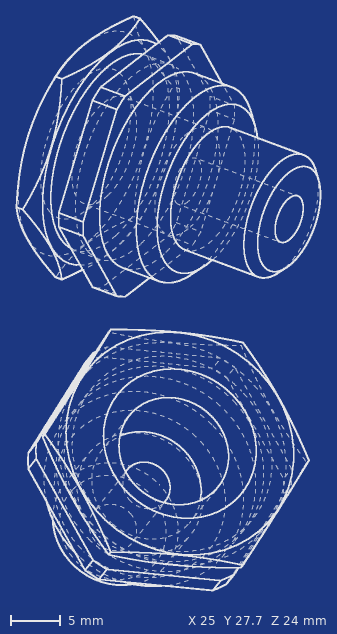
import cadquery as cq
import math

total_length = 25.0
head_thickness = 3.0
nut_start = 2 * head_thickness
nut_thickness = head_thickness
body_end = 15.0

across_corners = 27.7
across_flats = across_corners * math.cos(math.radians(30))
head_face_diameter = 23.89
head_chamfer_angle = 30
nut_corner_diameter = 26.8

body_diameter = 20.95
body_chamfer = 1.5
spigot_diameter = 13.15
spigot_chamfer = 1.0

bore_diameter = 11.5
bore_depth = 12.47
mouth_diameter = 16.02
mouth_depth = (mouth_diameter - bore_diameter) / 2
through_diameter = 5.0


def cylinder(diameter, start, end):
    return cq.Workplane("YZ", origin=(start, 0, 0)).circle(diameter / 2).extrude(end - start)


def hexagon(start, thickness):
    return cq.Workplane("YZ", origin=(start, 0, 0)).polygon(6, across_corners).extrude(thickness)


def revolve_about_x(points):
    return cq.Workplane("XY").polyline(points).close().revolve(360, (0, 0, 0), (1, 0, 0))


def make_head():
    """Hexagon with its corners chamfered conically on both faces."""
    corner_radius = across_corners / 2
    face_radius = head_face_diameter / 2
    chamfer_length = (corner_radius - face_radius) * math.tan(math.radians(head_chamfer_angle))
    envelope = revolve_about_x([
        (0, 0),
        (0, face_radius),
        (chamfer_length, corner_radius),
        (head_thickness - chamfer_length, corner_radius),
        (head_thickness, face_radius),
        (head_thickness, 0),
    ])
    return hexagon(0, head_thickness).intersect(envelope)


def make_nut():
    """Hexagon with its corners turned down to a cylinder."""
    envelope = cylinder(nut_corner_diameter, nut_start, nut_start + nut_thickness)
    return hexagon(nut_start, nut_thickness).intersect(envelope)


def make_bore():
    """Conical mouth, flat-bottomed bore and small through hole."""
    mouth = revolve_about_x([
        (0, 0),
        (0, mouth_diameter / 2),
        (mouth_depth, bore_diameter / 2),
        (mouth_depth, 0),
    ])
    bore = cylinder(bore_diameter, 0, bore_depth)
    through_hole = cylinder(through_diameter, 0, total_length)
    return mouth.union(bore).union(through_hole)


body = cylinder(body_diameter, 0, body_end).faces(">X").chamfer(body_chamfer)
spigot = cylinder(spigot_diameter, 0, total_length).faces(">X").chamfer(spigot_chamfer)
result = body.union(spigot).union(make_head()).union(make_nut()).cut(make_bore())